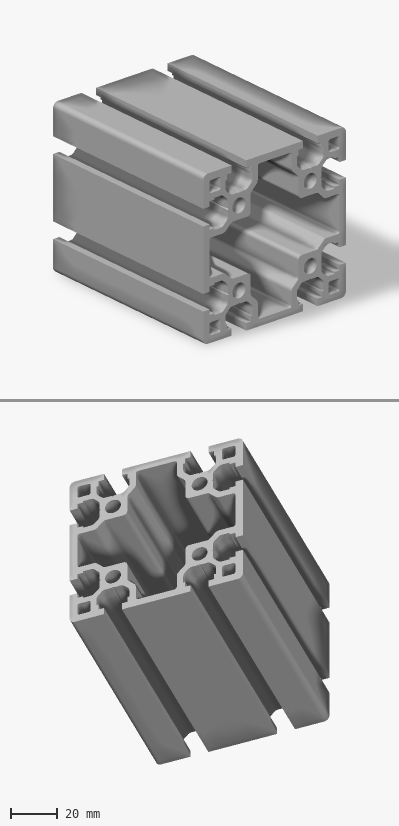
import cadquery as cq
import math

length = 100.0
side = 80.0
outer_radius = 2.5
half_side = side / 2

slot_offset = side / 4
skin = 3.5
opening_width = 8.3
shoulder_width = 13.4
shoulder_depth = 6.2
slot_width = 15.1
slot_depth = 13.8
floor_width = 9.0
slot_radius = 2.6
floor_radius = 2.4
groove_width = 0.8
groove_depth = 0.5

core_hole_diameter = 7.3
core_half_width = 6.6
core_radius = 1.9

corner_cavity_side = 6.2
corner_cavity_radius = 1.0

slot_wall = 3.0
web_thickness = 3.0
arm_corner_radius = 1.1
web_core_radius = 1.7
web_arm_radius = 2.5

ROOT_2 = math.sqrt(2)


def rounded_prism(corners):
    """Extrude a closed outline along X from (y, z, corner radius) triples."""
    count = len(corners)
    outline = cq.Workplane("YZ").workplane(offset=-length / 2)
    for index, (y, z, radius) in enumerate(corners):
        corner = cq.Vector(y, z)
        before = (cq.Vector(*corners[index - 1][:2]) - corner).normalized()
        after = (cq.Vector(*corners[(index + 1) % count][:2]) - corner).normalized()
        half_angle = before.getAngle(after) / 2
        setback = radius / math.tan(half_angle)
        start = corner + before * setback
        if index == 0:
            outline = outline.moveTo(start.x, start.y)
        else:
            outline = outline.lineTo(start.x, start.y)
        if radius > 0:
            end = corner + after * setback
            gap = radius / math.sin(half_angle) - radius
            middle = corner + (before + after).normalized() * gap
            outline = outline.threePointArc((middle.x, middle.y), (end.x, end.y))
    return outline.close().extrude(length)


def square_prism(width, radius):
    half = width / 2
    return rounded_prism(
        [(half, half, radius), (-half, half, radius), (-half, -half, radius), (half, -half, radius)]
    )


def on_all_sides(shape):
    """Four copies of a shape, a quarter turn apart about the X axis."""
    return [shape.rotate((0, 0, 0), (1, 0, 0), 90 * turn) for turn in range(4)]


floor_z = half_side - slot_depth


def slot():
    """One T-slot in the +Z face, centred on Y = 0, with a V-groove along its floor."""
    skin_z = half_side - skin
    shoulder_z = half_side - shoulder_depth
    flank_height = (slot_width - floor_width) / 2
    right_half = [
        (opening_width / 2, half_side, 0),
        (opening_width / 2, skin_z, 0),
        (shoulder_width / 2, skin_z, 0),
        (shoulder_width / 2, shoulder_z, 0),
        (slot_width / 2, shoulder_z, 0),
        (slot_width / 2, floor_z + flank_height, slot_radius),
        (floor_width / 2, floor_z, floor_radius),
        (groove_width / 2, floor_z, 0),
    ]
    left_half = [(-y, z, radius) for y, z, radius in reversed(right_half)]
    groove_tip = (0, floor_z - groove_depth, 0)
    return rounded_prism(right_half + [groove_tip] + left_half)


def central_cavity():
    """The cross-shaped cavity, with 45 degree webs beside each core."""
    arm_end = half_side - skin
    arm_side = slot_offset - slot_width / 2 - slot_wall
    core_face = slot_offset - core_half_width
    flank_sum = slot_offset - floor_width / 2 + floor_z
    web_sum = flank_sum - web_thickness * ROOT_2
    quadrant = [
        (arm_side, arm_end, arm_corner_radius),
        (arm_side, web_sum - arm_side, web_arm_radius),
        (core_face, web_sum - core_face, web_core_radius),
        (core_face, core_face, core_radius),
        (web_sum - core_face, core_face, web_core_radius),
        (web_sum - arm_side, arm_side, web_arm_radius),
        (arm_end, arm_side, arm_corner_radius),
    ]
    outline = []
    for y_sign, z_sign in ((1, 1), (1, -1), (-1, -1), (-1, 1)):
        corners = [(y_sign * y, z_sign * z, radius) for y, z, radius in quadrant]
        outline += corners if y_sign == z_sign else corners[::-1]
    return rounded_prism(outline)


corner_cavity_offset = half_side - skin - corner_cavity_side / 2
corner_cavity = square_prism(corner_cavity_side, corner_cavity_radius).translate(
    (0, corner_cavity_offset, corner_cavity_offset)
)
core_hole = (
    cq.Workplane("YZ")
    .workplane(offset=-length / 2)
    .center(slot_offset, slot_offset)
    .circle(core_hole_diameter / 2)
    .extrude(length)
)

result = square_prism(side, outer_radius).cut(central_cavity())
slot_at_centre = slot()
cutters = [
    slot_at_centre.translate((0, slot_offset, 0)),
    slot_at_centre.translate((0, -slot_offset, 0)),
    corner_cavity,
    core_hole,
]
for cutter in cutters:
    for placed in on_all_sides(cutter):
        result = result.cut(placed)